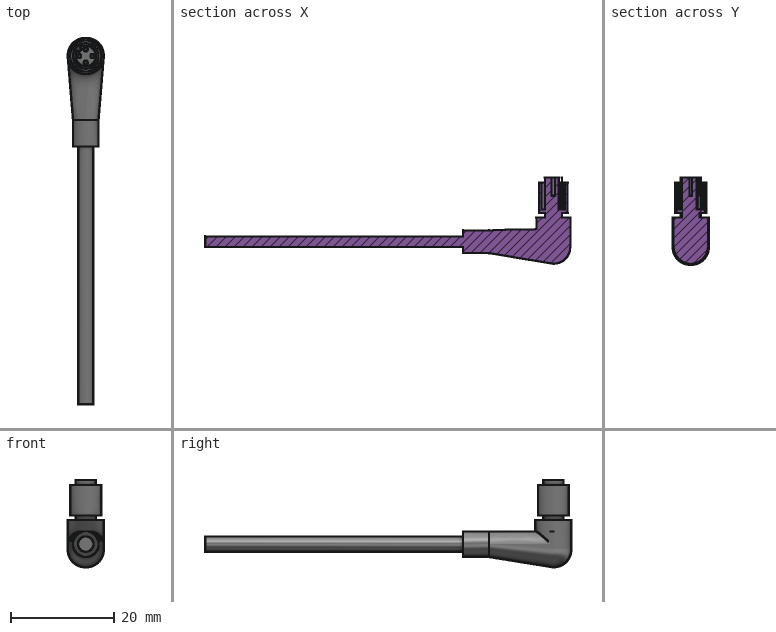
import cadquery as cq
import math

total_length = 71.0
elbow_radius = 7.0 / 2
elbow_top = 5.7

insert_radius = 4.0 / 2
insert_top = 17.0 - elbow_radius
sleeve_radius = 6.0 / 2
sleeve_bore_radius = 5.0 / 2
sleeve_bottom = 6.5
sleeve_top = 12.5
sleeve_floor = 0.7
socket_depth = insert_top - sleeve_bottom - sleeve_floor

contact_count = 4
contact_diameter = 0.8
contact_circle_radius = 1.3
contact_depth = 3.55
groove_width = 0.8
groove_bottom_radius = 1.5
groove_angle = 135.0

cable_axis_z = 1.0
cable_radius = 3.0 / 2
cable_end = total_length - elbow_radius
collar_radius = 5.0 / 2
collar_start = 12.4
collar_end = 17.55
collar_top = cable_axis_z + collar_radius
vanishing_flat = 0.015


def cylinder_up(radius, bottom, top):
    return cq.Workplane("XY").workplane(offset=bottom).circle(radius).extrude(top - bottom)


def cylinder_back(radius, start, end):
    """Cylinder on the cable axis, reaching from y = -start to y = -end."""
    plane = cq.Workplane("XZ", origin=(0, -start, cable_axis_z))
    return plane.circle(radius).extrude(end - start)


def make_elbow():
    upright = cylinder_up(elbow_radius, 0, elbow_top)
    back_half = cq.Workplane("XY").box(
        2 * elbow_radius, elbow_radius, 2 * elbow_radius, centered=(True, False, True)
    )
    ball = cq.Workplane("XY").sphere(elbow_radius).intersect(back_half)
    return upright.union(ball)


def taper_section(y, half_width, side_bottom):
    """Closed wire: round bottom, straight sides, rounded top corners and a flat top."""
    flat = half_width - collar_radius
    diagonal = collar_radius * math.sqrt(0.5)
    corner_x = flat + diagonal
    corner_z = cable_axis_z + diagonal
    section = (
        cq.Workplane("XZ", origin=(0, y, 0))
        .moveTo(-half_width, side_bottom)
        .threePointArc((0, side_bottom - half_width), (half_width, side_bottom))
        .lineTo(half_width, cable_axis_z)
        .threePointArc((corner_x, corner_z), (flat, collar_top))
        .lineTo(-flat, collar_top)
        .threePointArc((-corner_x, corner_z), (-half_width, cable_axis_z))
        .close()
    )
    return section.wire().val()


def make_taper():
    wide = taper_section(0, elbow_radius, 0)
    narrow = taper_section(
        -collar_start, collar_radius + vanishing_flat / 2, cable_axis_z - vanishing_flat
    )
    return cq.Workplane(cq.Solid.makeLoft([wide, narrow], True))


def make_side_trim():
    """Thin slivers of the elbow that lie outside the tapered sides, up to the collar top."""
    slope = (elbow_radius - collar_radius) / collar_start
    angle = 2 * math.atan(slope)
    end_x = elbow_radius * math.cos(angle)
    end_y = -elbow_radius * math.sin(angle)
    middle_x = elbow_radius * math.cos(angle / 2)
    middle_y = -elbow_radius * math.sin(angle / 2)
    sliver = (
        cq.Workplane("XY")
        .moveTo(elbow_radius, 0)
        .threePointArc((middle_x, middle_y), (end_x, end_y))
        .close()
        .extrude(collar_top)
    )
    return sliver.union(sliver.mirror("YZ"))


def make_plug():
    sleeve = cylinder_up(sleeve_radius, sleeve_bottom, sleeve_top)
    bore = cylinder_up(sleeve_bore_radius, sleeve_bottom + sleeve_floor, sleeve_top)
    insert = cylinder_up(insert_radius, elbow_top, insert_top)
    return sleeve.cut(bore).union(insert)


def make_contact_holes():
    return (
        cq.Workplane("XY", origin=(0, 0, insert_top - contact_depth))
        .polarArray(contact_circle_radius, 0, 360, contact_count)
        .circle(contact_diameter / 2)
        .extrude(contact_depth)
    )


def make_coding_groove():
    length = sleeve_bore_radius - groove_bottom_radius
    groove = cq.Workplane("XY").box(
        length, groove_width, socket_depth, centered=(False, True, False)
    )
    groove = groove.translate((groove_bottom_radius, 0, insert_top - socket_depth))
    return groove.rotate((0, 0, 0), (0, 0, 1), groove_angle)


plug = make_plug().cut(make_contact_holes()).cut(make_coding_groove())
collar = cylinder_back(collar_radius, collar_start, collar_end)
cable = cylinder_back(cable_radius, collar_start, cable_end)

result = (
    make_elbow()
    .cut(make_side_trim())
    .union(make_taper())
    .union(collar)
    .union(cable)
    .union(plug)
)